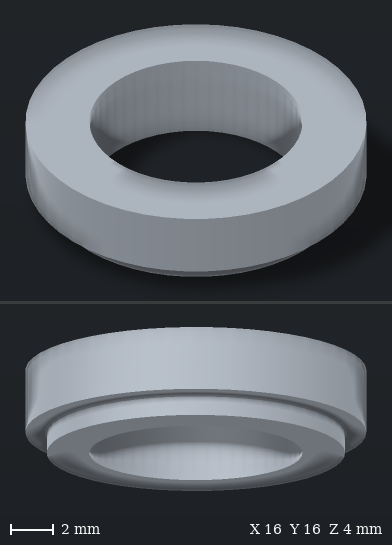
import cadquery as cq

outer_diameter = 16.0
spigot_diameter = 14.0
bore_diameter = 10.0
total_height = 4.0
spigot_height = total_height / 4
bevel_size = spigot_height / 10

outer_radius = outer_diameter / 2
spigot_radius = spigot_diameter / 2
bore_radius = bore_diameter / 2

half_section = (
    cq.Workplane("XZ")
    .moveTo(bore_radius, 0)
    .lineTo(spigot_radius, 0)
    .lineTo(spigot_radius, spigot_height - bevel_size)
    .lineTo(spigot_radius + bevel_size, spigot_height)
    .lineTo(outer_radius, spigot_height)
    .lineTo(outer_radius, total_height)
    .lineTo(bore_radius, total_height)
    .close()
)

result = half_section.revolve(360, (0, 0, 0), (0, 1, 0))